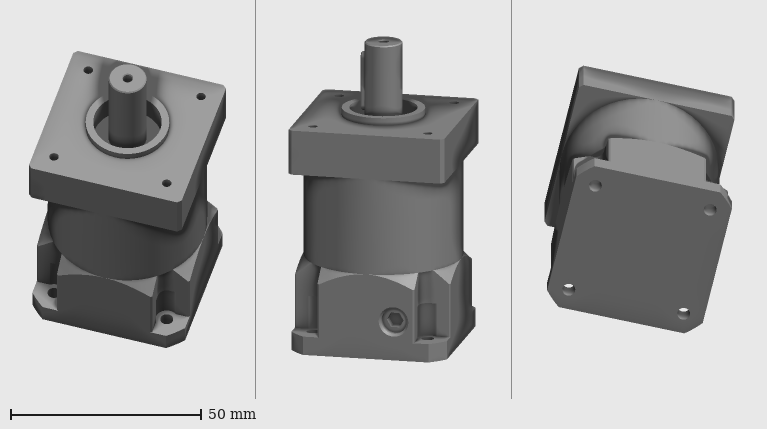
import cadquery as cq
import math


FOOT_TOP = 5.0
ADAPTER_TOP = 23.0
FLANGE_BOTTOM = 49.0
FLANGE_JOINT = 56.0
FLANGE_TOP = 61.0
PILOT_TOP = 63.0
SHAFT_TOP = 81.0

SIDE = 42.0
BOLT_SPACING = 31.0
BOLT_OFFSET = BOLT_SPACING / 2
OVERLAP = 1.0

FOOT_CORNER_RADIUS = 27.0
ADAPTER_CORNER_RADIUS = 24.5
NOTCH_WALL = 13.1
NOTCH_FILLET = BOLT_OFFSET - NOTCH_WALL
FOOT_HOLE_DIAMETER = 3.4
SCREW_HEAD_DIAMETER = 6.0
SCREW_HEAD_TOP = 14.0

PLUG_Y = -7.5
PLUG_Z = 10.5
PLUG_DIAMETER = 6.8
PLUG_CHAMFER = 0.6
PLUG_RECESS = 2.0
HEX_ACROSS_FLATS = 3.9
HEX_DEPTH = 2.5

FLANGE_CHAMFER = 1.0
FLANGE_HOLE_DIAMETER = 2.5
FLANGE_HOLE_DEPTH = FLANGE_TOP - FLANGE_JOINT
PILOT_DIAMETER = 22.0
BORE_DIAMETER = 18.0
BORE_DEPTH = 6.5

SHAFT_DIAMETER = 10.0
SHAFT_CHAMFER = 0.3
CENTRE_HOLE_DIAMETER = 2.5
CENTRE_HOLE_MOUTH = 3.0
CENTRE_HOLE_DEPTH = 8.0
DRILL_POINT_ANGLE = 118.0
KEY_WIDTH = 3.0
KEY_LENGTH = 16.0
KEY_TOP = SHAFT_TOP - 3.0
KEY_HEIGHT = 3.0
KEY_OUTER_Y = 5.9
KEY_CHAMFER = 0.3


def cylinder(diameter, bottom, top, x=0, y=0):
    """Vertical cylinder between two heights."""
    return cq.Workplane("XY", origin=(x, y, bottom)).circle(diameter / 2).extrude(top - bottom)


def square_block(bottom, top):
    """Full-width square block between two heights."""
    return cq.Workplane("XY", origin=(0, 0, bottom)).rect(SIDE, SIDE).extrude(top - bottom)


def corner_signs():
    """Signs of X and Y at each of the four corners."""
    return [(sx, sy) for sx in (-1, 1) for sy in (-1, 1)]


def make_adapter():
    foot = square_block(0, FOOT_TOP).intersect(cylinder(2 * FOOT_CORNER_RADIUS, 0, FOOT_TOP))

    turned = cylinder(2 * ADAPTER_CORNER_RADIUS, FOOT_TOP, ADAPTER_TOP)
    turned = turned.faces(">Z").chamfer(ADAPTER_CORNER_RADIUS - SIDE / 2)
    body = square_block(FOOT_TOP, ADAPTER_TOP).intersect(turned)
    for sx, sy in corner_signs():
        body = body.cut(make_corner_notch(sx, sy))

    adapter = foot.union(body)
    for sx, sy in corner_signs():
        x = sx * BOLT_OFFSET
        y = sy * BOLT_OFFSET
        adapter = adapter.cut(cylinder(FOOT_HOLE_DIAMETER, -OVERLAP, FOOT_TOP + OVERLAP, x, y))
    return adapter.cut(make_plug_recess())


def make_corner_notch(sx, sy):
    """Corner cut-away over a foot hole, with a wider pocket for the screw head."""
    notch_width = SIDE / 2 - NOTCH_WALL + OVERLAP
    notch_centre = NOTCH_WALL + notch_width / 2
    notch = (
        cq.Workplane("XY", origin=(sx * notch_centre, sy * notch_centre, FOOT_TOP))
        .rect(notch_width, notch_width)
        .extrude(ADAPTER_TOP - FOOT_TOP)
    )
    inner_edge = cq.selectors.NearestToPointSelector(
        (sx * NOTCH_WALL, sy * NOTCH_WALL, (FOOT_TOP + ADAPTER_TOP) / 2)
    )
    notch = notch.edges(inner_edge).fillet(NOTCH_FILLET)
    head_pocket = cylinder(
        SCREW_HEAD_DIAMETER, FOOT_TOP, SCREW_HEAD_TOP, sx * BOLT_OFFSET, sy * BOLT_OFFSET
    )
    return notch.union(head_pocket)


def make_plug_recess():
    """Chamfered round recess with a hex socket in its floor."""
    face = cq.Workplane("YZ", origin=(-SIDE / 2, PLUG_Y, PLUG_Z))
    recess = face.circle(PLUG_DIAMETER / 2).extrude(PLUG_RECESS)
    mouth = (
        face.circle(PLUG_DIAMETER / 2 + PLUG_CHAMFER)
        .workplane(offset=PLUG_CHAMFER)
        .circle(PLUG_DIAMETER / 2)
        .loft()
    )
    hex_across_corners = HEX_ACROSS_FLATS / math.cos(math.radians(30))
    socket = face.polygon(6, hex_across_corners).extrude(PLUG_RECESS + HEX_DEPTH)
    return recess.union(mouth).union(socket)


def make_flange_plate(bottom, top):
    return square_block(bottom, top).edges("|Z").chamfer(FLANGE_CHAMFER)


def make_front_plate():
    """Upper flange plate with the pilot ring, its bore and the mounting holes."""
    plate = make_flange_plate(FLANGE_JOINT, FLANGE_TOP)
    plate = plate.union(cylinder(PILOT_DIAMETER, FLANGE_TOP, PILOT_TOP))
    plate = plate.cut(cylinder(BORE_DIAMETER, PILOT_TOP - BORE_DEPTH, PILOT_TOP))
    for sx, sy in corner_signs():
        hole = cylinder(
            FLANGE_HOLE_DIAMETER,
            FLANGE_TOP - FLANGE_HOLE_DEPTH,
            FLANGE_TOP,
            sx * BOLT_OFFSET,
            sy * BOLT_OFFSET,
        )
        plate = plate.cut(hole)
    return plate


def make_shaft():
    shaft = cylinder(SHAFT_DIAMETER, PILOT_TOP - BORE_DEPTH, SHAFT_TOP)
    shaft = shaft.faces(">Z").chamfer(SHAFT_CHAMFER)
    return shaft.union(make_key()).cut(make_centre_hole())


def make_key():
    """Round-ended parallel key on the +Y side of the shaft."""
    key = (
        cq.Workplane("XZ", origin=(0, KEY_OUTER_Y, KEY_TOP - KEY_LENGTH / 2))
        .slot2D(KEY_LENGTH, KEY_WIDTH, 90)
        .extrude(KEY_HEIGHT)
    )
    return key.faces(">Y").chamfer(KEY_CHAMFER)


def make_centre_hole():
    """Drilled hole with a countersunk mouth and a conical bottom."""
    radius = CENTRE_HOLE_DIAMETER / 2
    mouth_radius = CENTRE_HOLE_MOUTH / 2
    point_length = radius / math.tan(math.radians(DRILL_POINT_ANGLE / 2))
    floor = SHAFT_TOP - CENTRE_HOLE_DEPTH
    return (
        cq.Workplane("XZ")
        .moveTo(0, floor - point_length)
        .lineTo(radius, floor)
        .lineTo(radius, SHAFT_TOP - (mouth_radius - radius))
        .lineTo(mouth_radius, SHAFT_TOP)
        .lineTo(0, SHAFT_TOP)
        .close()
        .revolve(360, (0, 0, 0), (0, 1, 0))
    )


housing = cylinder(SIDE, ADAPTER_TOP, FLANGE_BOTTOM)
rear_plate = make_flange_plate(FLANGE_BOTTOM, FLANGE_JOINT)
lower = make_adapter().union(housing).union(rear_plate)
upper = make_front_plate().union(make_shaft())

result = lower.union(upper, clean=False)